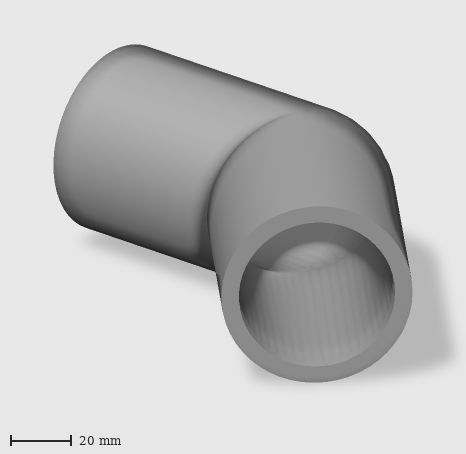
import cadquery as cq
import math

overall_length = 158.8
outer_diameter = 63.0
bore_diameter = 51.5
bend_angle = 45.0

bend = math.radians(bend_angle)
outer_radius = outer_diameter / 2
leg_length = (overall_length - outer_radius * math.sin(bend)) / (1 + math.cos(bend))

corner = cq.Vector(leg_length, 0, 0)
first_leg_direction = cq.Vector(-1, 0, 0)
second_leg_direction = cq.Vector(math.cos(bend), -math.sin(bend), 0)


def elbow_body(diameter):
    """Solid elbow: a ball at the corner and a cylinder along each leg."""
    radius = diameter / 2
    body = cq.Workplane("XY").sphere(radius).translate(corner)
    for direction in (first_leg_direction, second_leg_direction):
        leg = cq.Solid.makeCylinder(radius, leg_length, corner, direction)
        body = body.union(cq.Workplane(obj=leg))
    return body


result = elbow_body(outer_diameter).cut(elbow_body(bore_diameter))